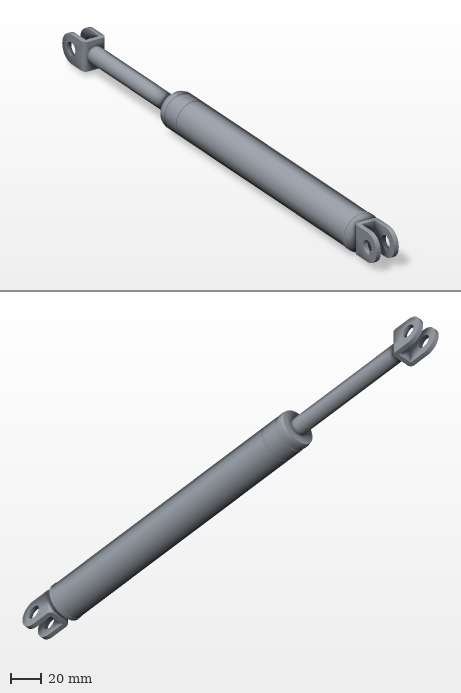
import cadquery as cq

total_length = 382.0
rod_side_fork_length = 26.7
housing_start = 126.0
housing_fork_length = 27.0
housing_end = total_length - housing_fork_length

fork_height = 21.8
fork_width = 17.5
fork_thickness = 3.5
fork_bend_radius = 3.0
eye_diameter = 10.0
eye_offset = fork_height / 2

rod_diameter = 12.5

housing_radius = 13.8
mouth_chamfer_length = 2.3
mouth_chamfer_depth = 0.57
groove_depth = 0.5
front_groove_start = 131.5
front_groove_width = 2.3
rear_groove_start = 145.5
rear_groove_width = 1.0
bead_start = 347.5
bead_end = 350.3
bead_radius = 14.0
dome_end_radius = 7.3
dome_mid_x = 353.0
dome_mid_radius = 11.5


def make_fork(length):
    """Fork with its arm tips at X = 0 and the back of its base at X = length."""
    half_height = fork_height / 2
    fork = (
        cq.Workplane("XZ")
        .moveTo(length, -half_height)
        .lineTo(length, half_height)
        .lineTo(eye_offset, half_height)
        .threePointArc((0, 0), (eye_offset, -half_height))
        .close()
        .extrude(fork_width / 2, both=True)
        .edges("|Z and >X")
        .fillet(fork_bend_radius)
    )
    mouth = cq.Workplane("XY").box(
        length - fork_thickness,
        fork_width - 2 * fork_thickness,
        fork_height,
        centered=(False, True, True),
    )
    eye = (
        cq.Workplane("XZ")
        .center(eye_offset, 0)
        .circle(eye_diameter / 2)
        .extrude(fork_width / 2, both=True)
    )
    return fork.cut(mouth).cut(eye)


def make_rod():
    """Rod rooted in the base of its fork; the rod end rests against the housing face."""
    shaft_start = rod_side_fork_length - fork_thickness
    shaft = (
        cq.Workplane("XZ")
        .moveTo(shaft_start, 0)
        .lineTo(shaft_start, rod_diameter / 2)
        .lineTo(housing_start, rod_diameter / 2)
        .lineTo(housing_start, 0)
        .close()
        .revolve(360, (0, 0, 0), (1, 0, 0))
    )
    return shaft.union(make_fork(rod_side_fork_length))


def make_groove(start, width):
    """Ring that cuts a shallow groove around the housing."""
    return (
        cq.Workplane("YZ", origin=(start, 0, 0))
        .circle(bead_radius)
        .circle(housing_radius - groove_depth)
        .extrude(width)
    )


def make_housing():
    """Cylinder with a chamfered mouth, grooves, an end bead, a domed end and a fork."""
    housing = (
        cq.Workplane("XZ")
        .moveTo(housing_start, 0)
        .lineTo(housing_start, housing_radius - mouth_chamfer_depth)
        .lineTo(housing_start + mouth_chamfer_length, housing_radius)
        .lineTo(bead_start, housing_radius)
        .lineTo(bead_start, bead_radius)
        .lineTo(bead_end, bead_radius)
        .lineTo(bead_end, housing_radius)
        .threePointArc((dome_mid_x, dome_mid_radius), (housing_end, dome_end_radius))
        .lineTo(housing_end, 0)
        .close()
        .revolve(360, (0, 0, 0), (1, 0, 0))
    )
    for start, width in (
        (front_groove_start, front_groove_width),
        (rear_groove_start, rear_groove_width),
    ):
        housing = housing.cut(make_groove(start, width))
    fork = (
        make_fork(housing_fork_length)
        .rotate((0, 0, 0), (0, 0, 1), 180)
        .translate((total_length, 0, 0))
    )
    return housing.union(fork)


rod = make_rod()
housing = make_housing()
result = cq.Compound.makeCompound([rod.val(), housing.val()])